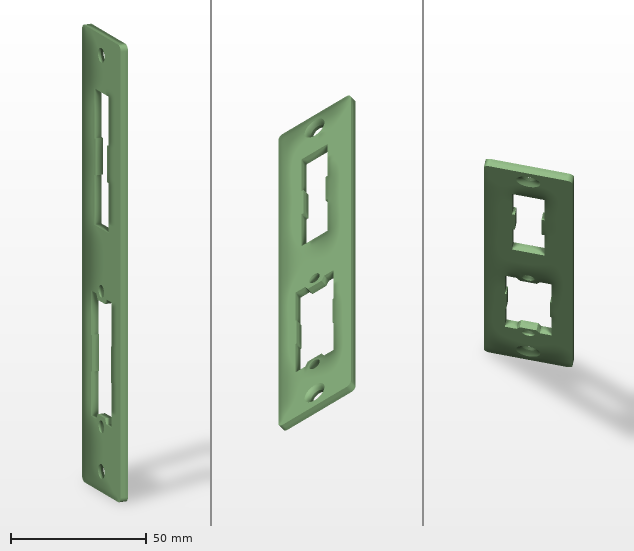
import cadquery as cq

WIDTH = 33.5
THICKNESS = 3.0
HEIGHT = 176.0
CORNER_RADIUS = 2.1

FIXING_DIAMETER = 5.6
FIXING_OFFSET = 80.0
COUNTERSINK_DEPTH = 1.8
COUNTERSINK_DIAMETER = FIXING_DIAMETER + 2 * COUNTERSINK_DEPTH

NECK_HEIGHT = 14.0

UPPER_CENTER_Z = 39.6
UPPER_WIDTH = 12.1
UPPER_HEIGHT = 52.5
UPPER_NECK_WIDTH = 10.0

LOWER_CENTER_Z = -36.8
LOWER_WIDTH = 17.6
LOWER_HEIGHT = 48.2
LOWER_NECK_WIDTH = 16.5
TAB_DEPTH = 2.1
TAB_TIP_WIDTH = 6.3
TAB_BASE_WIDTH = 8.8
SCREW_DIAMETER = 4.8
SCREW_SPACING = 52.1


def front_plane(center_z=0.0):
    """Workplane through the plate's middle, with local X along X and local Y along Z."""
    return cq.Workplane("XZ", origin=(0, 0, center_z))


def through(sketch):
    """Extrude a sketch equally to both sides, to the plate thickness."""
    return sketch.extrude(THICKNESS / 2, both=True)


def necked_window(center_z, width, height, neck_width):
    """Rectangular opening whose two long sides step inward at mid-height."""
    opening = through(front_plane(center_z).rect(width, height))
    step = (width - neck_width) / 2
    step_x = (neck_width + step) / 2
    steps = through(
        front_plane(center_z).pushPoints([(-step_x, 0), (step_x, 0)]).rect(step, NECK_HEIGHT)
    )
    return opening.cut(steps)


def tab(end):
    """Tapered tab reaching into the lower window; end is +1 for the top, -1 for the bottom."""
    base_z = end * LOWER_HEIGHT / 2
    tip_z = base_z - end * TAB_DEPTH
    outline = [
        (-TAB_BASE_WIDTH / 2, base_z),
        (-TAB_TIP_WIDTH / 2, tip_z),
        (TAB_TIP_WIDTH / 2, tip_z),
        (TAB_BASE_WIDTH / 2, base_z),
    ]
    return through(front_plane(LOWER_CENTER_Z).polyline(outline).close())


def hole_pair(center_z, offset, diameter):
    """Two through holes on the centerline, equally far above and below center_z."""
    return through(front_plane(center_z).pushPoints([(0, -offset), (0, offset)]).circle(diameter / 2))


def countersink(center_z):
    """Cone that opens from the fixing hole diameter to the back face."""
    return cq.Workplane(
        cq.Solid.makeCone(
            FIXING_DIAMETER / 2,
            COUNTERSINK_DIAMETER / 2,
            COUNTERSINK_DEPTH,
            pnt=cq.Vector(0, THICKNESS / 2 - COUNTERSINK_DEPTH, center_z),
            dir=cq.Vector(0, 1, 0),
        )
    )


plate = cq.Workplane("XY").box(WIDTH, THICKNESS, HEIGHT).edges("|Y").fillet(CORNER_RADIUS)

upper_window = necked_window(UPPER_CENTER_Z, UPPER_WIDTH, UPPER_HEIGHT, UPPER_NECK_WIDTH)
lower_window = necked_window(LOWER_CENTER_Z, LOWER_WIDTH, LOWER_HEIGHT, LOWER_NECK_WIDTH)
for tab_end in (1, -1):
    lower_window = lower_window.cut(tab(tab_end))

result = (
    plate.cut(upper_window)
    .cut(lower_window)
    .cut(hole_pair(0, FIXING_OFFSET, FIXING_DIAMETER))
    .cut(hole_pair(LOWER_CENTER_Z, SCREW_SPACING / 2, SCREW_DIAMETER))
)
for fixing_z in (-FIXING_OFFSET, FIXING_OFFSET):
    result = result.cut(countersink(fixing_z))